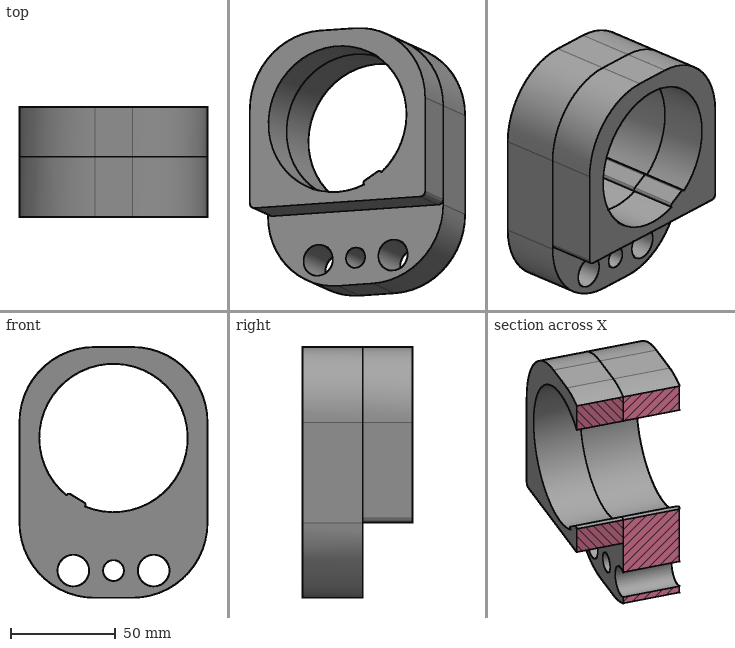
import cadquery as cq

width = 89.9
height = 119.8
corner_radius = 36.0

plate_depth = 28.9
collar_depth = 23.7

collar_bottom = 36.0
collar_edge_radius = 2.4

bore_diameter = 70.7
bore_height = 76.3
key_width = 10.3
key_face_distance = 33.5
key_edge_radius = 1.2
key_angle = 31.0

foot_hole_height = 13.0
side_hole_diameter = 15.0
side_hole_offset = 19.2
center_hole_diameter = 9.8


def rounded_block(bottom, y_front, depth, bottom_radius):
    """Upright block with large top corners and its own bottom corner radius."""
    block_height = height - bottom
    block = cq.Workplane("XY").box(width, depth, block_height, centered=(True, False, False))
    block = block.translate((0, y_front, bottom))
    block = block.edges("|Y and >Z").fillet(corner_radius)
    return block.edges("|Y and <Z").fillet(bottom_radius)


def cylinder_along_y(x, z, diameter, y_front, depth):
    """Round cutter that runs the given depth towards +Y."""
    return (
        cq.Workplane("XZ", origin=(x, y_front, z))
        .circle(diameter / 2)
        .extrude(-depth)
    )


def keyed_bore(y_front, depth):
    """Bore cutter with the round-edged key left out of it."""
    bore_radius = bore_diameter / 2
    bore = cylinder_along_y(0, bore_height, bore_diameter, y_front, depth)
    key = (
        cq.Workplane("XY")
        .box(key_width, depth, bore_radius, centered=(True, False, False))
        .edges("|Y and >Z")
        .fillet(key_edge_radius)
        .translate((0, y_front, bore_height - key_face_distance - bore_radius))
        .rotate((0, 0, bore_height), (0, 1, bore_height), key_angle)
    )
    return bore.cut(key)


def make_plate():
    """Front plate: keyed bore above a foot with three holes."""
    y_front = -plate_depth
    plate = rounded_block(0, y_front, plate_depth, corner_radius)
    plate = plate.cut(keyed_bore(y_front, plate_depth))
    foot_holes = [
        (-side_hole_offset, side_hole_diameter),
        (0, center_hole_diameter),
        (side_hole_offset, side_hole_diameter),
    ]
    for x, diameter in foot_holes:
        plate = plate.cut(cylinder_along_y(x, foot_hole_height, diameter, y_front, plate_depth))
    return plate


def make_collar():
    """Rear collar: continues the upper outline and the keyed bore behind the plate."""
    collar = rounded_block(collar_bottom, 0, collar_depth, collar_edge_radius)
    return collar.cut(keyed_bore(0, collar_depth))


plate = make_plate()
collar = make_collar()

result = cq.Compound.makeCompound([plate.val(), collar.val()])